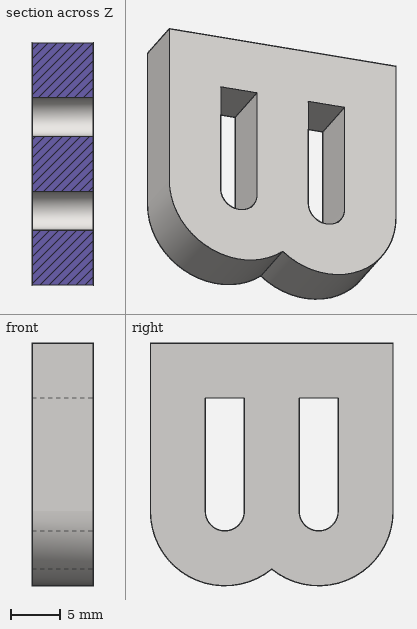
import cadquery as cq

overall_width = 24.65
overall_height = 24.65
thickness = 6.2
leg_width = 5.6

slot_width = (overall_width - 3 * leg_width) / 2
slot_radius = slot_width / 2
lobe_radius = leg_width + slot_radius
lobe_offset = (leg_width + slot_width) / 2
lobe_center_z = lobe_radius
slot_top_z = overall_height - leg_width


def box_between(width, bottom_z, top_z, center_y):
    """Block through the plate thickness, spanning bottom_z to top_z."""
    height = top_z - bottom_z
    block = cq.Workplane("XY").box(thickness, width, height)
    return block.translate((0, center_y, bottom_z + height / 2))


def disc(radius, center_y):
    """Cylinder through the plate thickness, centred at lobe height."""
    plane = cq.Workplane("YZ", origin=(-thickness / 2, center_y, lobe_center_z))
    return plane.circle(radius).extrude(thickness)


body = box_between(overall_width, lobe_center_z, overall_height, 0)

lobe_centers = (-lobe_offset, lobe_offset)

for center_y in lobe_centers:
    body = body.union(disc(lobe_radius, center_y))

for center_y in lobe_centers:
    body = body.cut(box_between(slot_width, lobe_center_z, slot_top_z, center_y))
    body = body.cut(disc(slot_radius, center_y))

result = body